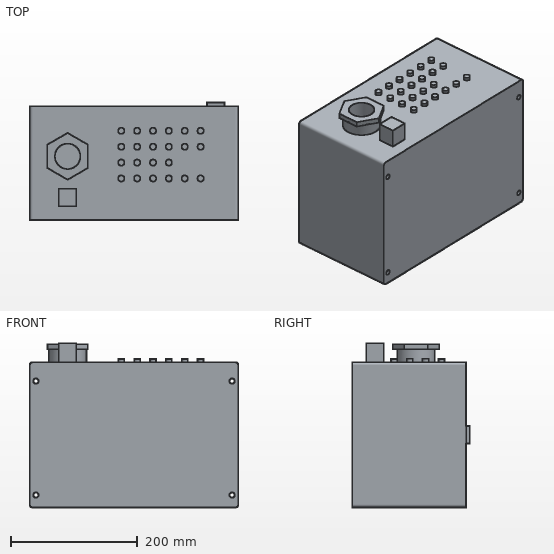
import cadquery as cq

LENGTH = 330.0
DEPTH = 180.2
HEIGHT = 230.0
EDGE_RADIUS = 5.0

MOUNT_HOLE_DIAMETER = 8.0
MOUNT_HOLE_SIDE_INSET = 10.0
MOUNT_HOLE_TOP_INSET = 30.0
MOUNT_HOLE_BOTTOM_INSET = 19.8

GLAND_X = 60.0
GLAND_Y = 101.0
NECK_DIAMETER = 60.0
NECK_HEIGHT = 20.0
NUT_POINT_DIAMETER = 74.0
NUT_THICKNESS = 8.2
BORE_DIAMETER = 40.3

BLOCK_SIDE = 28.0
TOP_BLOCK_Y = 36.0
TOP_BLOCK_HEIGHT = 30.0
BACK_BLOCK_X = 294.5
BACK_BLOCK_THICKNESS = 6.0

BUTTON_DIAMETER = 10.0
BUTTON_HEIGHT = 5.0
BUTTON_PITCH = 25.0
FIRST_BUTTON_X = 145.0
FIRST_BUTTON_Y = 66.0
BUTTONS_PER_ROW = [6, 4, 6, 6]


def top_plane():
    """Workplane on the top face, sharing the body's X and Y."""
    return cq.Workplane("XY", origin=(0, 0, HEIGHT))


def make_body():
    """Solid box with the four edges along Y rounded."""
    box = cq.Workplane("XY").box(LENGTH, DEPTH, HEIGHT, centered=False)
    return box.edges("|Y").fillet(EDGE_RADIUS)


def make_mounting_holes():
    """Four cylinders passing through the body from front to back."""
    points = [
        (x, z)
        for x in (MOUNT_HOLE_SIDE_INSET, LENGTH - MOUNT_HOLE_SIDE_INSET)
        for z in (MOUNT_HOLE_BOTTOM_INSET, HEIGHT - MOUNT_HOLE_TOP_INSET)
    ]
    return cq.Workplane("XZ").pushPoints(points).circle(MOUNT_HOLE_DIAMETER / 2).extrude(-DEPTH)


def make_gland():
    """Neck and nut (points of the hexagon along Y), bored down to the top face."""
    neck = top_plane().center(GLAND_X, GLAND_Y).circle(NECK_DIAMETER / 2).extrude(NECK_HEIGHT)
    nut = (
        cq.Workplane("XY")
        .polygon(6, NUT_POINT_DIAMETER)
        .extrude(NUT_THICKNESS)
        .rotate((0, 0, 0), (0, 0, 1), 90)
        .translate((GLAND_X, GLAND_Y, HEIGHT + NECK_HEIGHT))
    )
    bore = (
        top_plane()
        .center(GLAND_X, GLAND_Y)
        .circle(BORE_DIAMETER / 2)
        .extrude(NECK_HEIGHT + NUT_THICKNESS)
    )
    return neck.union(nut).cut(bore)


def make_top_block():
    """Square block standing on the top face, in line with the gland."""
    return top_plane().center(GLAND_X, TOP_BLOCK_Y).rect(BLOCK_SIDE, BLOCK_SIDE).extrude(TOP_BLOCK_HEIGHT)


def make_back_block():
    """Flat square block at mid-height on the back wall."""
    return (
        cq.Workplane("XZ", origin=(0, DEPTH, 0))
        .center(BACK_BLOCK_X, HEIGHT / 2)
        .rect(BLOCK_SIDE, BLOCK_SIDE)
        .extrude(-BACK_BLOCK_THICKNESS)
    )


def make_buttons():
    """Rows of round buttons, each row starting at the same X."""
    points = [
        (FIRST_BUTTON_X + column * BUTTON_PITCH, FIRST_BUTTON_Y + row * BUTTON_PITCH)
        for row, count in enumerate(BUTTONS_PER_ROW)
        for column in range(count)
    ]
    return top_plane().pushPoints(points).circle(BUTTON_DIAMETER / 2).extrude(BUTTON_HEIGHT)


result = (
    make_body()
    .cut(make_mounting_holes())
    .union(make_gland())
    .union(make_top_block())
    .union(make_back_block())
    .union(make_buttons())
)